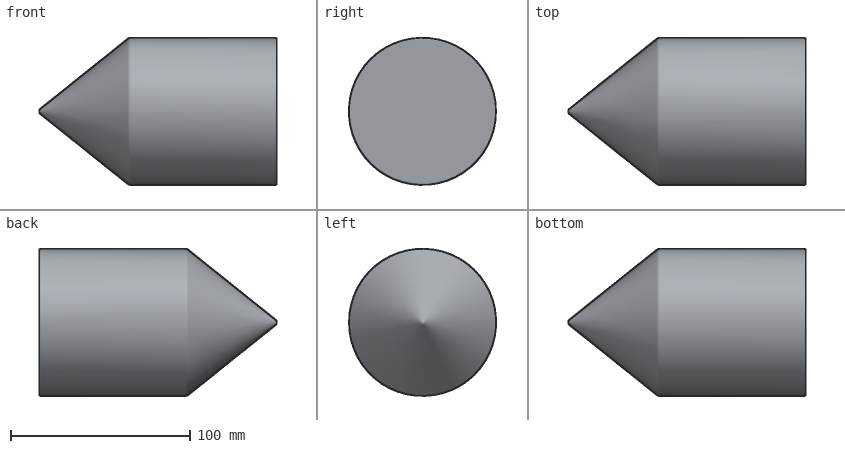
import cadquery as cq
import math

total_length = 132.6
body_diameter = 82.2
rear_fillet_radius = 1.0
full_turn = 360.0
cone_half_angle = math.radians(38.68)
tip_radius = 1.85
shoulder_radius = 2.0

body_radius = body_diameter / 2
rear_face_radius = body_radius - rear_fillet_radius

tip_center_x = tip_radius
sharp_apex_x = tip_center_x - tip_radius / math.sin(cone_half_angle)
sharp_shoulder_x = sharp_apex_x + body_radius / math.tan(cone_half_angle)
shoulder_center_x = sharp_shoulder_x + shoulder_radius * math.tan(cone_half_angle / 2)
shoulder_center_r = body_radius - shoulder_radius


def point_on_arc(center_x, center_r, radius, angle):
    """Point on an arc, with the angle measured from straight ahead (-X) towards the outside."""
    return (center_x - radius * math.cos(angle), center_r + radius * math.sin(angle))


def half_profile():
    """Closed outline between the axis and the outside of the nose, body and rear edge."""
    normal_angle = math.pi / 2 - cone_half_angle
    shoulder_mid_angle = (normal_angle + math.pi / 2) / 2
    rear_mid_angle = 3 * math.pi / 4
    rear_center_x = total_length - rear_fillet_radius

    tip_middle = point_on_arc(tip_center_x, 0, tip_radius, normal_angle / 2)
    cone_start = point_on_arc(tip_center_x, 0, tip_radius, normal_angle)
    cone_end = point_on_arc(shoulder_center_x, shoulder_center_r, shoulder_radius, normal_angle)
    shoulder_middle = point_on_arc(
        shoulder_center_x, shoulder_center_r, shoulder_radius, shoulder_mid_angle
    )
    rear_middle = point_on_arc(rear_center_x, rear_face_radius, rear_fillet_radius, rear_mid_angle)

    return (
        cq.Workplane("XY")
        .moveTo(0, 0)
        .threePointArc(tip_middle, cone_start)
        .lineTo(*cone_end)
        .threePointArc(shoulder_middle, (shoulder_center_x, body_radius))
        .lineTo(rear_center_x, body_radius)
        .threePointArc(rear_middle, (total_length, rear_face_radius))
        .lineTo(total_length, 0)
        .close()
    )


result = half_profile().revolve(full_turn, (0, 0, 0), (1, 0, 0))